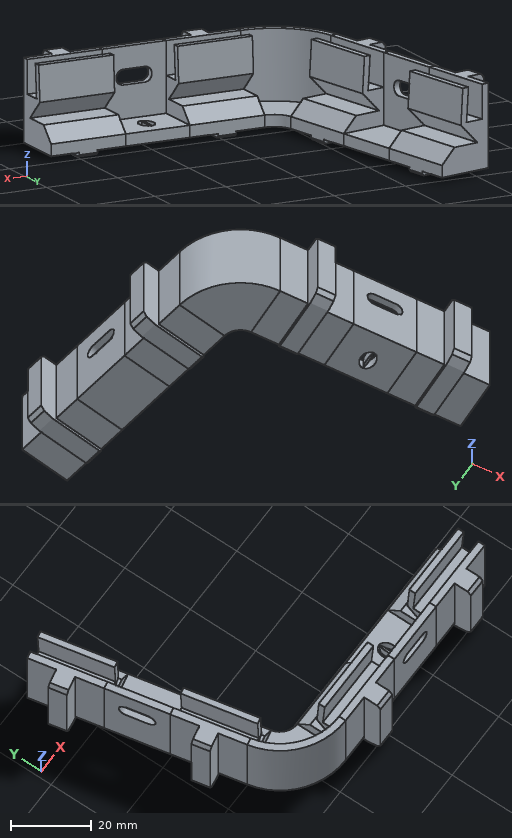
import cadquery as cq

interior_angle = 101.5
bend_angle = 180 - interior_angle
bend_radius = 20.1
clip_length = 21.0
window_length = 18.0
leg_length = 2 * clip_length + window_length

depth = 14.85
height = 22.0
wall = 2.0
floor_top = 3.2

ledge_top = 7.2
ledge_depth = depth - (ledge_top - floor_top)
channel_floor = 13.0
overhang_top = 12.5
arm_root_outer = 7.0
arm_root_inner = 8.8
arm_tip_outer = 6.4
arm_tip_inner = 8.2
groove_depth = arm_root_inner - (overhang_top - ledge_top)

tab_width = 5.1
tab_reach = 5.0
tab_chamfer = 1.0
tab_toe_drop = 0.35
rail_drop = 1.18
rail_ramp_reach = 1.2
rail_end_chamfer = 0.6

slot_length = 10.0
slot_width = 4.0
slot_height = 14.0

ring_length = 4.0
ring_depth = 5.4
core_length = 0.7
core_depth = 4.8
ring_x = 29.75
ring_y = 8.2


def extrude_profile(points, start, length):
    """Extrude a (depth, height) outline along +X."""
    section = cq.Workplane("YZ", origin=(start, 0, 0))
    return section.polyline(points).close().extrude(length)


def angle_outline():
    """L-shaped section of wall and floor."""
    return [
        (0, 0),
        (depth, 0),
        (depth, floor_top),
        (wall, floor_top),
        (wall, height),
        (0, height),
    ]


def make_clip(start):
    """Clip piece: wall, ledge and spring arm, with the outer tab at mid length."""
    body = extrude_profile(
        [
            (0, 0),
            (depth, 0),
            (depth, floor_top),
            (ledge_depth, ledge_top),
            (groove_depth, ledge_top),
            (arm_root_inner, overhang_top),
            (arm_tip_inner, height),
            (arm_tip_outer, height),
            (arm_root_outer, channel_floor),
            (wall, channel_floor),
            (wall, height),
            (0, height),
        ],
        start,
        clip_length,
    )
    tab = extrude_profile(
        [
            (0, height),
            (tab_chamfer - tab_reach, height),
            (-tab_reach, height - tab_chamfer),
            (-tab_reach, tab_chamfer),
            (tab_chamfer - tab_reach, -tab_toe_drop),
            (-rail_ramp_reach, -rail_drop),
            (depth - rail_end_chamfer, -rail_drop),
            (depth, rail_end_chamfer - rail_drop),
            (depth, 0),
            (0, 0),
        ],
        start + (clip_length - tab_width) / 2,
        tab_width,
    )
    return body.union(tab)


def make_window():
    """Plain piece between two clips, with a slot through its wall."""
    body = extrude_profile(angle_outline(), clip_length, window_length)
    slot = (
        cq.Workplane("XZ", origin=(leg_length / 2, 0, slot_height))
        .slot2D(slot_length, slot_width)
        .extrude(-wall)
    )
    return body.cut(slot)


def make_oval(length, oval_depth):
    """Upright oval prism, as tall as the floor is thick."""
    return (
        cq.Workplane("XY", origin=(ring_x, ring_y, 0))
        .ellipse(length / 2, oval_depth / 2)
        .extrude(floor_top)
    )


def make_bend():
    """Curved corner: the L section revolved about the bend axis."""
    return (
        cq.Workplane("YZ")
        .polyline(angle_outline())
        .close()
        .revolve(bend_angle, (bend_radius, 0), (bend_radius, -1))
    )


def to_second_leg(piece):
    """Mirror a piece of the first leg and turn it about the bend axis."""
    axis_start = (0, bend_radius, 0)
    axis_end = (0, bend_radius, 1)
    return piece.mirror("YZ").rotate(axis_start, axis_end, -bend_angle)


clip_starts = (0, clip_length + window_length)
clips = []
for clip_start in clip_starts:
    clip = make_clip(clip_start)
    clips.append(clip)
    clips.append(to_second_leg(clip))

window = make_window()
second_window = to_second_leg(window)
first_window = window.cut(make_oval(ring_length, ring_depth))
core = make_oval(core_length, core_depth)
bend = make_bend()

result = cq.Compound.makeCompound([
    *[clip.val() for clip in clips],
    first_window.val(),
    second_window.val(),
    core.val(),
    bend.val(),
])